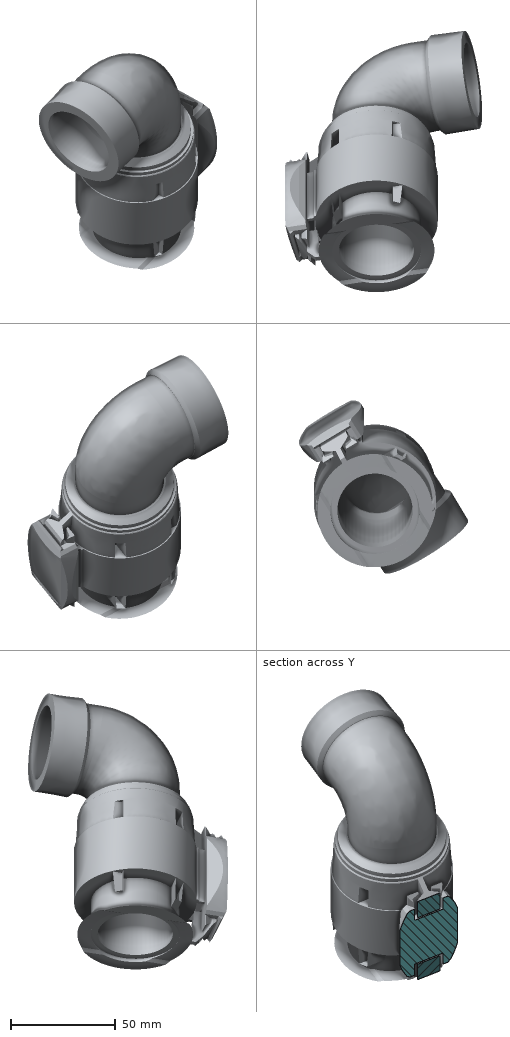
import cadquery as cq
import math


total_height = 127.99
sleeve_radius = 29.4
sleeve_bottom = 20.2
sleeve_top = 50.3
sleeve_middle = (sleeve_bottom + sleeve_top) / 2
collar_big_radius = 28.9
upper_collar_top = 67.8
upper_collar_small_radius = 27.9
lower_collar_small_radius = 27.7
collar_edge_chamfer = 0.4

notch_floor_x = 22.9
window_inner_y = 13.0
window_wide_y = 17.6
upper_window_top = 60.9
upper_window_narrow_y = 17.2
lower_window_bottom = 8.8
lower_window_narrow_y = 16.6

relief_half_width = 18.7
relief_step_half_width = 16.8
relief_step = 1.15
relief_height = 1.9

riser_radius = 21.35
outlet_radius = 21.9
bore_radius = 18.05
socket_radius = 24.1
socket_end_radius = 23.8
outlet_axis_z = total_height - socket_radius
socket_end_y = -46.75
socket_length = 16.25
socket_chamfer = 1.9
outer_bend_radius = 40.8
inner_bend_radius = 5.8
bend_steps = 6
outer_bend_center = (riser_radius - outer_bend_radius, outlet_axis_z + outlet_radius - outer_bend_radius)
inner_bend_center = (-riser_radius - inner_bend_radius, outlet_axis_z - outlet_radius - inner_bend_radius)
rim_radius = 27.2
rim_top = 69.8
shoulder_radius = 26.0
shoulder_top = 72.2
shoulder_cone_top = 74.2
shoulder_cone_radius = 22.2

fin_half_thickness = 1.3
fin_root_y = 26.0
fin_gap = 0.6
head_half_width = 7.15
head_outer_y = 38.4
head_side_y = 36.6
head_flank_x = 5.5
head_flank_y = 35.6
head_inner_y = 33.8
fin_tip_drop = 1.8

clip_inner_y = 32.1
clip_outer_y = 42.85
clip_face_y = 42.0
clip_half_width = 17.6
clip_end_half_width = 12.0
clip_corner_half_width = 10.3
clip_shoulder_height = 21.2
clip_half_height = 22.6
clip_dome_radius = 96.0
flare_inner_half_width = 13.0
flare_bend_half_width = 15.1
flare_bend_y = 34.8
flare_outer_y = 38.8
ridge_height = 18.4
bevel_y = 40.9
lip_y = 40.0
lip_half_height = 24.3
lip_inner_y = 38.7
channel_half_width = 7.6
channel_inner_y = 32.9
channel_outer_y = 39.4
stem_slot_half_width = 3.6
tongue_half_width = 9.5
tongue_half_height = 28.6
tongue_chamfer_start_y = 32.7
tongue_outer_y = 35.3
web_inner_x = 7.4
web_outer_x = 9.1
web_flare = 1.2
web_flare_y = 29.7
web_root_y = 26.5


def tube_section(plane, half_width, half_depth):
    return cq.Workplane(plane).ellipse(half_width, half_depth).wires().val()


def pipe_radius(share):
    """Outer radius across the bend, growing from the riser to the outlet."""
    return riser_radius + (outlet_radius - riser_radius) * share


def no_wall(share):
    return 0


def bore_wall(share):
    return pipe_radius(share) - bore_radius


def bend(wall):
    """Quarter bend whose crown and throat follow their own arcs, shrunk inwards by `wall`."""
    sections = []
    for step in range(bend_steps + 1):
        share = step / bend_steps
        angle = math.radians(90) * share
        along_y = math.cos(angle)
        along_z = math.sin(angle)
        crown_y = outer_bend_center[0] + outer_bend_radius * along_y
        crown_z = outer_bend_center[1] + outer_bend_radius * along_z
        throat_y = inner_bend_center[0] + inner_bend_radius * along_y
        throat_z = inner_bend_center[1] + inner_bend_radius * along_z
        depth = math.hypot(crown_y - throat_y, crown_z - throat_z) / 2
        tilt = math.atan2(crown_z - throat_z, crown_y - throat_y)
        plane = cq.Plane(
            origin=(0, (crown_y + throat_y) / 2, (crown_z + throat_z) / 2),
            xDir=(1, 0, 0),
            normal=(0, -math.sin(tilt), math.cos(tilt)),
        )
        half_width = pipe_radius(share)
        sections.append(tube_section(plane, half_width - wall(share), depth - wall(share)))
    return cq.Workplane(cq.Solid.makeLoft(sections))


def straight_riser(radius, bottom):
    """Straight pipe from `bottom` up to the first, slanted section of the bend."""
    middle_z = (outer_bend_center[1] + inner_bend_center[1]) / 2
    rise = outer_bend_center[1] - inner_bend_center[1]
    run = outer_bend_center[0] + outer_bend_radius - inner_bend_center[0] - inner_bend_radius
    slope = rise / run
    reach = socket_radius * 2
    trim = (
        cq.Workplane("YZ")
        .polyline([(-reach, bottom), (reach, bottom), (reach, middle_z + slope * reach),
                   (-reach, middle_z - slope * reach)])
        .close()
        .extrude(reach, both=True)
    )
    pipe = cq.Workplane("XY").workplane(offset=bottom).circle(radius).extrude(total_height)
    return pipe.intersect(trim)


def straight_outlet(radius, end_y):
    """Straight pipe from the last, slanted section of the bend out to `end_y`."""
    middle_y = (outer_bend_center[0] + inner_bend_center[0]) / 2
    run = outer_bend_center[0] - inner_bend_center[0]
    rise = outer_bend_center[1] + outer_bend_radius - inner_bend_center[1] - inner_bend_radius
    slope = run / rise
    reach = socket_radius * 2
    trim = (
        cq.Workplane("YZ")
        .polyline([(end_y, outlet_axis_z - reach), (middle_y - slope * reach, outlet_axis_z - reach),
                   (middle_y + slope * reach, outlet_axis_z + reach), (end_y, outlet_axis_z + reach)])
        .close()
        .extrude(reach, both=True)
    )
    pipe = (
        cq.Workplane("XZ", origin=(0, 0, outlet_axis_z))
        .circle(radius)
        .extrude(total_height, both=True)
    )
    return pipe.intersect(trim)


def make_elbow():
    shoulder = (
        cq.Workplane("XZ")
        .polyline([
            (0, relief_height), (riser_radius, relief_height), (riser_radius, upper_collar_top),
            (rim_radius, upper_collar_top), (rim_radius, rim_top), (shoulder_radius, rim_top),
            (shoulder_radius, shoulder_top), (shoulder_cone_radius, shoulder_cone_top),
            (0, shoulder_cone_top),
        ])
        .close()
        .revolve(360, (0, 0, 0), (0, 1, 0))
    )
    socket_start_y = socket_end_y + socket_length
    socket = (
        cq.Workplane("YZ", origin=(0, 0, outlet_axis_z))
        .polyline([
            (socket_end_y, 0), (socket_end_y, socket_end_radius), (socket_start_y, socket_radius),
            (socket_start_y + socket_chamfer, socket_radius - socket_chamfer),
            (socket_start_y + socket_chamfer, 0),
        ])
        .close()
        .revolve(360, (0, 0, 0), (1, 0, 0))
    )
    outside = bend(no_wall).union(straight_riser(riser_radius, shoulder_top)).union(shoulder)
    outside = outside.union(straight_outlet(outlet_radius, socket_start_y)).union(socket)
    return (
        outside.cut(bend(bore_wall))
        .cut(straight_riser(bore_radius, relief_height))
        .cut(straight_outlet(bore_radius, socket_end_y))
    )


def side_openings(wide_z, narrow_z, narrow_y):
    """Tapered slots along X: right through at the back (+Y), stopped at a flat floor at the front (-Y)."""
    window = (
        cq.Workplane("YZ")
        .polyline([(window_inner_y, wide_z), (window_wide_y, wide_z), (narrow_y, narrow_z),
                   (window_inner_y, narrow_z)])
        .close()
        .extrude(sleeve_radius, both=True)
    )
    floor_block = cq.Workplane("XY").rect(2 * notch_floor_x, 2 * sleeve_radius).extrude(total_height)
    notch = window.mirror("XZ").cut(floor_block)
    return window.union(notch)


def t_fin(side_outline):
    """T-section rail along Z, trimmed to an outline in the YZ plane."""
    t_section = (
        cq.Workplane("XY")
        .polyline([
            (-fin_half_thickness, fin_root_y), (fin_half_thickness, fin_root_y),
            (fin_half_thickness, head_inner_y), (head_flank_x, head_flank_y),
            (head_half_width, head_side_y), (head_half_width, head_outer_y),
            (-head_half_width, head_outer_y), (-head_half_width, head_side_y),
            (-head_flank_x, head_flank_y), (-fin_half_thickness, head_inner_y),
        ])
        .close()
        .extrude(total_height)
    )
    trim = cq.Workplane("YZ").polyline(side_outline).close().extrude(head_half_width, both=True)
    return t_section.intersect(trim)


def make_upper_collar():
    cone = (
        cq.Workplane("XZ")
        .polyline([
            (0, sleeve_top), (collar_big_radius, sleeve_top),
            (upper_collar_small_radius, upper_collar_top - collar_edge_chamfer),
            (upper_collar_small_radius - collar_edge_chamfer, upper_collar_top), (0, upper_collar_top),
        ])
        .close()
        .revolve(360, (0, 0, 0), (0, 1, 0))
    )
    openings = side_openings(sleeve_top, upper_window_top, upper_window_narrow_y)
    cone = cone.cut(openings)
    fin_bottom = sleeve_top + fin_gap
    fin_tip_z = 61.2
    fin_tip_y = 37.5
    fin = t_fin([
        (fin_root_y, fin_bottom), (fin_root_y, upper_collar_top),
        (upper_collar_small_radius - collar_edge_chamfer, upper_collar_top), (fin_tip_y, fin_tip_z),
        (head_outer_y, fin_tip_z - fin_tip_drop), (head_outer_y, fin_bottom),
    ])
    bore = cq.Workplane("XY").circle(riser_radius).extrude(total_height)
    return cone.union(fin).cut(bore)


def make_lower_collar():
    cone = (
        cq.Workplane("XZ")
        .polyline([(0, 0), (lower_collar_small_radius, 0), (collar_big_radius, sleeve_bottom),
                   (0, sleeve_bottom)])
        .close()
        .revolve(360, (0, 0, 0), (0, 1, 0))
    )
    openings = side_openings(sleeve_bottom, lower_window_bottom, lower_window_narrow_y)
    cone = cone.cut(openings)
    fin_top = sleeve_bottom - fin_gap
    fin_heel_y = 29.85
    fin_tip_z = 11.5
    fin = t_fin([
        (fin_root_y, fin_top), (fin_root_y, relief_height), (fin_heel_y, relief_height),
        (head_outer_y, fin_tip_z), (head_outer_y, fin_top),
    ])
    relief = (
        cq.Workplane("XZ")
        .moveTo(-relief_half_width, 0)
        .lineTo(-relief_step_half_width, relief_step)
        .threePointArc((0, relief_height), (relief_step_half_width, relief_step))
        .lineTo(relief_half_width, 0)
        .close()
        .extrude(sleeve_radius, both=True)
    )
    bore = cq.Workplane("XY").circle(riser_radius).extrude(total_height)
    return cone.cut(relief).union(fin).cut(bore)


def clip_face_outline():
    """Block bounded by the rounded outline of the clip in the XZ plane."""
    return (
        cq.Workplane("XZ", origin=(0, 0, sleeve_middle))
        .moveTo(-clip_corner_half_width, lip_half_height)
        .lineTo(-clip_corner_half_width, clip_half_height)
        .lineTo(-clip_end_half_width, clip_shoulder_height)
        .threePointArc((-clip_half_width, 0), (-clip_end_half_width, -clip_shoulder_height))
        .lineTo(-clip_corner_half_width, -clip_half_height)
        .lineTo(-clip_corner_half_width, -lip_half_height)
        .lineTo(clip_corner_half_width, -lip_half_height)
        .lineTo(clip_corner_half_width, -clip_half_height)
        .lineTo(clip_end_half_width, -clip_shoulder_height)
        .threePointArc((clip_half_width, 0), (clip_end_half_width, clip_shoulder_height))
        .lineTo(clip_corner_half_width, clip_half_height)
        .lineTo(clip_corner_half_width, lip_half_height)
        .close()
        .extrude(-2 * clip_outer_y)
    )


def clip_flared_section():
    """Block with the flared sides and domed outer face of the clip."""
    edge_drop = clip_dome_radius - math.sqrt(clip_dome_radius**2 - clip_half_width**2)
    edge_y = clip_outer_y - edge_drop
    return (
        cq.Workplane("XY")
        .moveTo(-flare_inner_half_width, clip_inner_y)
        .lineTo(flare_inner_half_width, clip_inner_y)
        .lineTo(flare_bend_half_width, flare_bend_y)
        .lineTo(clip_half_width, flare_outer_y)
        .lineTo(clip_half_width, edge_y)
        .threePointArc((0, clip_outer_y), (-clip_half_width, edge_y))
        .lineTo(-clip_half_width, flare_outer_y)
        .lineTo(-flare_bend_half_width, flare_bend_y)
        .close()
        .extrude(total_height)
    )


def clip_side_profile():
    """Block with the ridged outer face and the end lips of the clip, in the YZ plane."""
    upper_half = [
        (clip_inner_y, clip_half_height), (lip_inner_y, clip_half_height), (lip_y, lip_half_height),
        (bevel_y, clip_half_height), (clip_outer_y, ridge_height),
        (clip_face_y, ridge_height - (clip_outer_y - clip_face_y)),
    ]
    lower_half = [(y, -z) for y, z in reversed(upper_half)]
    return (
        cq.Workplane("YZ", origin=(0, 0, sleeve_middle))
        .polyline(upper_half + lower_half)
        .close()
        .extrude(clip_half_width, both=True)
    )


def clip_tongues():
    """Chamfered guide tongues that run past both ends of the clip along the fins."""
    section = (
        cq.Workplane("XY")
        .polyline([
            (-tongue_half_width, clip_inner_y), (tongue_half_width, clip_inner_y),
            (tongue_half_width, tongue_chamfer_start_y), (channel_half_width, tongue_outer_y),
            (-channel_half_width, tongue_outer_y), (-tongue_half_width, tongue_chamfer_start_y),
        ])
        .close()
        .extrude(total_height)
    )
    slope = cq.Workplane("YZ", origin=(0, 0, sleeve_middle)).polyline([
        (clip_inner_y, -tongue_half_height), (clip_inner_y, tongue_half_height),
        (head_outer_y, clip_half_height), (head_outer_y, -clip_half_height),
    ])
    return section.intersect(slope.close().extrude(clip_half_width, both=True))


def clip_pockets():
    """T-shaped pockets in both ends of the clip, closed between them over the sleeve's height."""
    channel = (
        cq.Workplane("XY")
        .polyline([
            (-stem_slot_half_width, clip_inner_y), (stem_slot_half_width, clip_inner_y),
            (stem_slot_half_width, channel_inner_y), (channel_half_width, head_inner_y),
            (channel_half_width, channel_outer_y), (-channel_half_width, channel_outer_y),
            (-channel_half_width, head_inner_y), (-stem_slot_half_width, channel_inner_y),
        ])
        .close()
        .extrude(total_height)
    )
    closed_span = (
        cq.Workplane("XY", origin=(0, 0, sleeve_bottom))
        .rect(2 * clip_half_width, 2 * clip_outer_y)
        .extrude(sleeve_top - sleeve_bottom)
    )
    return channel.cut(closed_span)


def clip_webs():
    """Two webs, flared at the root, that tie the clip to the sleeve."""
    root_x = web_outer_x + web_flare
    root_y = web_flare_y - web_flare
    web = (
        cq.Workplane("XY", origin=(0, 0, sleeve_bottom))
        .moveTo(web_inner_x, clip_inner_y)
        .lineTo(web_inner_x, web_root_y)
        .lineTo(root_x, web_root_y)
        .lineTo(root_x, root_y)
        .radiusArc((web_outer_x, web_flare_y), web_flare)
        .lineTo(web_outer_x, clip_inner_y)
        .close()
        .extrude(sleeve_top - sleeve_bottom)
    )
    return web.union(web.mirror("YZ"))


def make_sleeve():
    ring = (
        cq.Workplane("XY", origin=(0, 0, sleeve_bottom))
        .circle(sleeve_radius)
        .circle(riser_radius)
        .extrude(sleeve_top - sleeve_bottom)
    )
    clip = clip_face_outline().intersect(clip_flared_section()).intersect(clip_side_profile())
    clip = clip.union(clip_tongues()).cut(clip_pockets())
    return ring.union(clip_webs()).union(clip)


elbow = make_elbow()
upper_collar = make_upper_collar()
lower_collar = make_lower_collar()
sleeve = make_sleeve()

bodies = [elbow, upper_collar, lower_collar, sleeve]
result = cq.Compound.makeCompound([body.solids().val() for body in bodies])